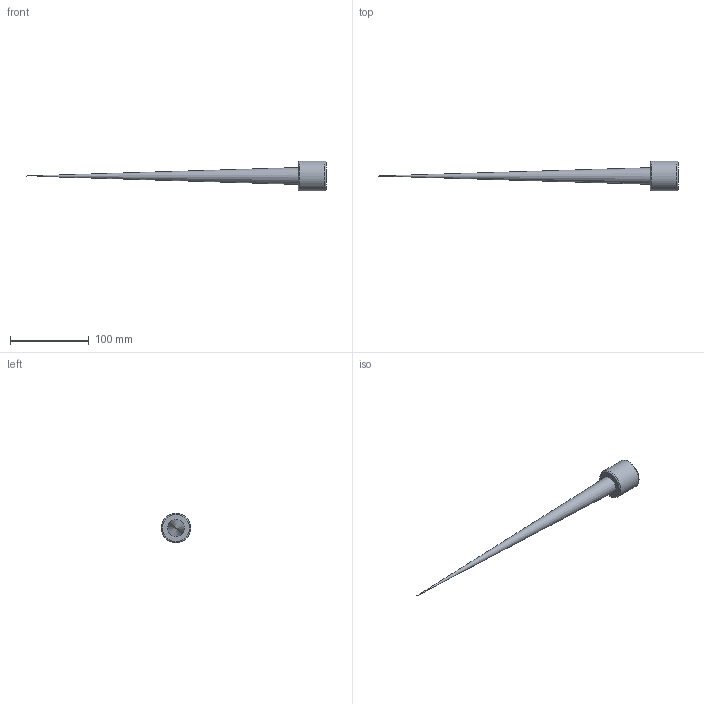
import cadquery as cq

overall_length = 381.35
head_diameter = 37.59
head_length = 35.0
head_rim_radius = 1.5

needle_full_diameter = 22.87
needle_rear_gap = 12.7

head_start = overall_length - head_length
needle_length = overall_length - needle_rear_gap


def needle():
    """Slender cone with a sharp tip, its wide end buried in the head."""
    half_section = (
        cq.Workplane("XZ")
        .lineTo(needle_length, needle_full_diameter / 2)
        .lineTo(needle_length, 0)
        .close()
    )
    return half_section.revolve(360, (0, 0, 0), (1, 0, 0))


def head():
    """Cylindrical head with both rims rounded."""
    blank = cq.Workplane("YZ", origin=(head_start, 0, 0)).circle(head_diameter / 2).extrude(head_length)
    return blank.faces("<X or >X").edges().fillet(head_rim_radius)


result = head().union(needle())